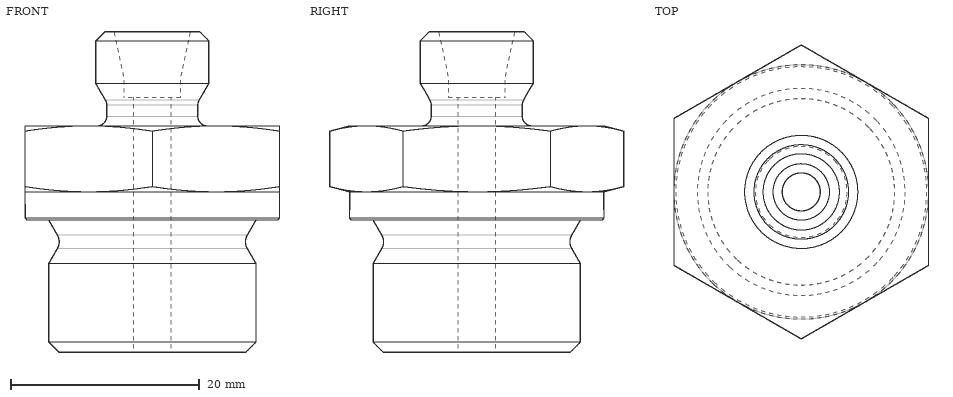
import cadquery as cq
import math

TOTAL_HEIGHT = 34.0

STUD_RADIUS = 22.0 / 2
STUD_CHAMFER = 1.1
STUD_TOP = 9.42
GROOVE_BLEND_RADIUS = 1.4
GROOVE_FLANK_ANGLE = math.radians(30)

ACROSS_FLATS = 27.0
COLLAR_BOTTOM = 14.0
COLLAR_CHAMFER = 0.2
HEX_BOTTOM = 17.0
HEX_TOP = 24.0
HEX_CHAMFER_ANGLE = math.radians(15)

NECK_RADIUS = 9.7 / 2
NECK_FILLET = 1.0
TUBE_END_RADIUS = 12.0 / 2
TUBE_END_BOTTOM = 28.5
TUBE_END_CHAMFER = 1.0

BORE_DIAMETER = 4.0
SOCKET_DIAMETER = 6.0
SOCKET_DEPTH = 7.0
CONE_MOUTH_DIAMETER = 8.1
CONE_HALF_ANGLE = math.radians(12)


def make_hexagon():
    """Hexagon with flats facing +X and -X and both rims turned to a cone."""
    flat_radius = ACROSS_FLATS / 2
    corner_radius = flat_radius / math.cos(math.pi / 6)
    height = HEX_TOP - HEX_BOTTOM
    prism = (
        cq.Workplane("XY")
        .workplane(offset=HEX_BOTTOM)
        .polygon(6, 2 * corner_radius)
        .extrude(height)
        .rotate((0, 0, 0), (0, 0, 1), 30)
    )
    corner_drop = (corner_radius - flat_radius) * math.tan(HEX_CHAMFER_ANGLE)
    turned_envelope = (
        cq.Workplane("XZ")
        .moveTo(0, HEX_BOTTOM)
        .lineTo(flat_radius, HEX_BOTTOM)
        .lineTo(corner_radius, HEX_BOTTOM + corner_drop)
        .lineTo(corner_radius, HEX_TOP - corner_drop)
        .lineTo(flat_radius, HEX_TOP)
        .lineTo(0, HEX_TOP)
        .close()
        .revolve(360, (0, 0), (0, 1))
    )
    return prism.intersect(turned_envelope)


def make_lower_stud():
    """Threaded stud, rounded V groove and collar, turned as one profile."""
    collar_radius = ACROSS_FLATS / 2
    flank_slope = math.tan(GROOVE_FLANK_ANGLE)
    groove_middle = (STUD_TOP + COLLAR_BOTTOM) / 2
    half_arc_height = GROOVE_BLEND_RADIUS * math.sin(GROOVE_FLANK_ANGLE)
    arc_bottom = groove_middle - half_arc_height
    arc_top = groove_middle + half_arc_height
    arc_end_radius = STUD_RADIUS - (arc_bottom - STUD_TOP) * flank_slope
    arc_sag = GROOVE_BLEND_RADIUS * (1 - math.cos(GROOVE_FLANK_ANGLE))
    return (
        cq.Workplane("XZ")
        .moveTo(0, 0)
        .lineTo(STUD_RADIUS - STUD_CHAMFER, 0)
        .lineTo(STUD_RADIUS, STUD_CHAMFER)
        .lineTo(STUD_RADIUS, STUD_TOP)
        .lineTo(arc_end_radius, arc_bottom)
        .threePointArc((arc_end_radius - arc_sag, groove_middle), (arc_end_radius, arc_top))
        .lineTo(STUD_RADIUS, COLLAR_BOTTOM)
        .lineTo(collar_radius - COLLAR_CHAMFER, COLLAR_BOTTOM)
        .lineTo(collar_radius, COLLAR_BOTTOM + COLLAR_CHAMFER)
        .lineTo(collar_radius, HEX_BOTTOM)
        .lineTo(0, HEX_BOTTOM)
        .close()
        .revolve(360, (0, 0), (0, 1))
    )


def make_tube_end():
    """Filleted neck, conical shoulder and chamfered cylindrical end."""
    blend_end_radius = NECK_RADIUS + NECK_FILLET * (1 - math.cos(GROOVE_FLANK_ANGLE))
    cone_height = (TUBE_END_RADIUS - blend_end_radius) / math.tan(GROOVE_FLANK_ANGLE)
    blend_top = TUBE_END_BOTTOM - cone_height
    blend_bottom = blend_top - NECK_FILLET * math.sin(GROOVE_FLANK_ANGLE)
    return (
        cq.Workplane("XZ")
        .moveTo(0, HEX_TOP)
        .lineTo(NECK_RADIUS + NECK_FILLET, HEX_TOP)
        .radiusArc((NECK_RADIUS, HEX_TOP + NECK_FILLET), NECK_FILLET)
        .lineTo(NECK_RADIUS, blend_bottom)
        .radiusArc((blend_end_radius, blend_top), NECK_FILLET)
        .lineTo(TUBE_END_RADIUS, TUBE_END_BOTTOM)
        .lineTo(TUBE_END_RADIUS, TOTAL_HEIGHT - TUBE_END_CHAMFER)
        .lineTo(TUBE_END_RADIUS - TUBE_END_CHAMFER, TOTAL_HEIGHT)
        .lineTo(0, TOTAL_HEIGHT)
        .close()
        .revolve(360, (0, 0), (0, 1))
    )


def make_passage():
    """Through bore, flat-bottomed tube socket and conical mouth."""
    bore_radius = BORE_DIAMETER / 2
    socket_radius = SOCKET_DIAMETER / 2
    mouth_radius = CONE_MOUTH_DIAMETER / 2
    socket_bottom = TOTAL_HEIGHT - SOCKET_DEPTH
    cone_depth = (mouth_radius - socket_radius) / math.tan(CONE_HALF_ANGLE)
    return (
        cq.Workplane("XZ")
        .moveTo(0, 0)
        .lineTo(bore_radius, 0)
        .lineTo(bore_radius, socket_bottom)
        .lineTo(socket_radius, socket_bottom)
        .lineTo(socket_radius, TOTAL_HEIGHT - cone_depth)
        .lineTo(mouth_radius, TOTAL_HEIGHT)
        .lineTo(0, TOTAL_HEIGHT)
        .close()
        .revolve(360, (0, 0), (0, 1))
    )


body = make_lower_stud().union(make_hexagon()).union(make_tube_end())
result = body.cut(make_passage())